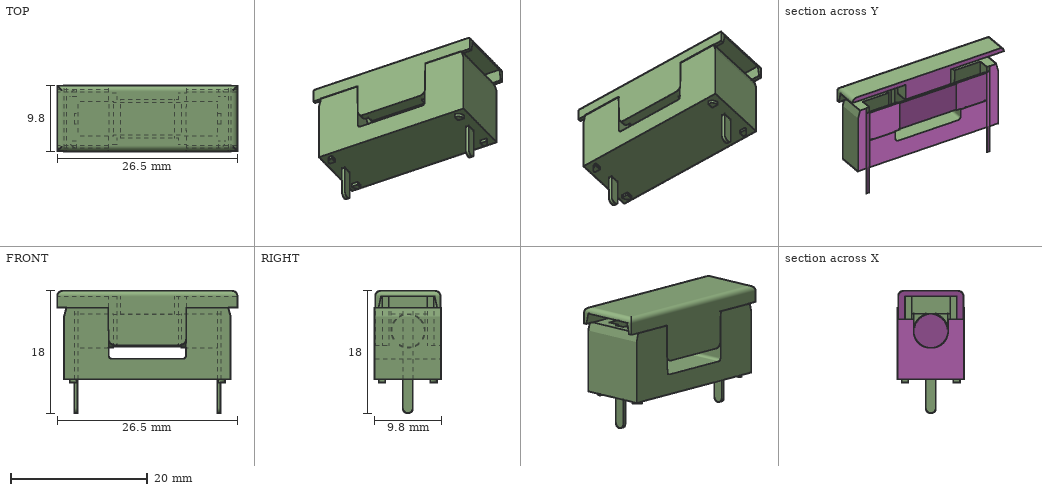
import cadquery as cq
import math


housing_length = 24.49
housing_width = 9.8
housing_height = 10.52
end_chamfer_inset = 0.35
end_chamfer_drop = 1.27

window_floor = 3.02
window_bottom_half = 5.65
window_top_half = 5.75
window_corner_radius = 0.45

foot_radius = 1.0
foot_height = 0.5
foot_center_x = 10.41
foot_center_y = 3.29

pin_pitch = 21.0
pin_thickness = 0.5
pin_width = 1.5
pin_reach = 4.98
pin_inner_x = (pin_pitch - pin_thickness) / 2

fuse_axis_height = 7.15
cap_diameter = 5.0
glass_diameter = 4.8
glass_length = 9.96
cap_length = pin_inner_x - glass_length / 2
fuse_top = fuse_axis_height + cap_diameter / 2

cover_length = 26.5
cover_width = 9.62
cover_height = 2.5
cover_edge_radius = 0.82
cover_top = housing_height + cover_height
roof_underside = cover_top - cover_edge_radius
skirt_top_thickness = 0.87
skirt_bottom_thickness = 0.5

tab_bottom = 5.04
tab_corner_radius = 0.87
tab_inner_y = 3.8

jaw_inner_y = 2.84
jaw_length = 9.0
web_length = 7.95


def window_half_width(height):
    """Half width of the tapered window at a height above the housing underside."""
    rise = (height - window_floor) / (housing_height - window_floor)
    return window_bottom_half + rise * (window_top_half - window_bottom_half)


def box_between(x_range, y_range, z_range):
    """Axis-aligned box between pairs of coordinates."""
    lows, highs = zip(x_range, y_range, z_range)
    sizes = [high - low for low, high in zip(lows, highs)]
    return cq.Workplane("XY").box(*sizes, centered=False).translate(lows)


def tapered_profile(bottom, corner_radius, depth):
    """Window-shaped prism, centred on Y, from a rounded bottom up to the housing top."""
    bottom_half = window_half_width(bottom)
    return (
        cq.Workplane("XZ")
        .moveTo(-bottom_half, bottom)
        .lineTo(bottom_half, bottom)
        .lineTo(window_top_half, housing_height)
        .lineTo(-window_top_half, housing_height)
        .close()
        .extrude(depth / 2, both=True)
        .edges("|Y and <Z")
        .fillet(corner_radius)
    )


def make_foot(side_x, side_y):
    """Quarter-round foot with its rounded side toward the nearest housing corner."""
    center_x = side_x * foot_center_x
    center_y = side_y * foot_center_y
    mid_reach = foot_radius * math.sqrt(0.5)
    return (
        cq.Workplane("XY")
        .moveTo(center_x, center_y)
        .lineTo(center_x + side_x * foot_radius, center_y)
        .threePointArc(
            (center_x + side_x * mid_reach, center_y + side_y * mid_reach),
            (center_x, center_y + side_y * foot_radius),
        )
        .close()
        .extrude(-foot_height)
    )


def make_housing():
    """Chamfered block with the window, feet, fuse cradle and pin slots."""
    half_length = housing_length / 2
    shoulder = housing_height - end_chamfer_drop
    top_half = half_length - end_chamfer_inset
    body = (
        cq.Workplane("XZ")
        .polyline([
            (-half_length, 0),
            (half_length, 0),
            (half_length, shoulder),
            (top_half, housing_height),
            (-top_half, housing_height),
            (-half_length, shoulder),
        ])
        .close()
        .extrude(housing_width / 2, both=True)
    )
    body = body.cut(tapered_profile(window_floor, window_corner_radius, housing_width))

    cap_radius = cap_diameter / 2
    bed = fuse_cylinder(cap_diameter, -pin_inner_x, pin_inner_x)
    throat = box_between(
        (-pin_inner_x, pin_inner_x), (-cap_radius, cap_radius), (fuse_axis_height, housing_height)
    )
    body = body.cut(bed).cut(throat)

    for side in (-1, 1):
        slot = (
            cq.Workplane("XY")
            .center(side * pin_pitch / 2, 0)
            .rect(pin_thickness, pin_width)
            .extrude(housing_height)
        )
        body = body.cut(slot)

    for side_x in (-1, 1):
        for side_y in (-1, 1):
            body = body.union(make_foot(side_x, side_y))
    return body


def fuse_cylinder(diameter, x_start, x_end):
    """Cylinder along the fuse axis between two X positions."""
    return (
        cq.Workplane("YZ", origin=(x_start, 0, fuse_axis_height))
        .circle(diameter / 2)
        .extrude(x_end - x_start)
    )


def make_glass():
    """Glass body of the fuse."""
    return fuse_cylinder(glass_diameter, -glass_length / 2, glass_length / 2)


def make_cap(side):
    """Metal end cap between the glass and a contact pin."""
    inner_x = side * glass_length / 2
    return fuse_cylinder(cap_diameter, inner_x, inner_x + side * cap_length)


def make_pin(side):
    """Flat contact pin with a round tip, rising beside the fuse cap."""
    center_x = side * pin_pitch / 2
    half_width = pin_width / 2
    tip_center = half_width - pin_reach
    return (
        cq.Workplane("YZ", origin=(center_x, 0, 0))
        .moveTo(-half_width, fuse_top)
        .lineTo(-half_width, tip_center)
        .threePointArc((0, -pin_reach), (half_width, tip_center))
        .lineTo(half_width, fuse_top)
        .close()
        .extrude(pin_thickness / 2, both=True)
    )


def make_cover():
    """Lid with rounded top edges, drafted side skirts, grip tabs, jaws and a web."""
    half_width = cover_width / 2
    lid = (
        cq.Workplane("XY", origin=(0, 0, housing_height))
        .rect(cover_length, cover_width)
        .extrude(cover_height)
        .faces(">Z")
        .edges()
        .fillet(cover_edge_radius)
    )

    channel_bottom_half = half_width - skirt_bottom_thickness
    channel_top_half = half_width - skirt_top_thickness
    channel = (
        cq.Workplane("YZ")
        .polyline([
            (-channel_bottom_half, housing_height),
            (channel_bottom_half, housing_height),
            (channel_top_half, roof_underside),
            (-channel_top_half, roof_underside),
        ])
        .close()
        .extrude(cover_length / 2, both=True)
    )
    cover = lid.cut(channel)

    tab_prism = tapered_profile(tab_bottom, tab_corner_radius, cover_width)
    jaw_x = (-jaw_length / 2, jaw_length / 2)
    for side in (-1, 1):
        tab_y = sorted((side * tab_inner_y, side * half_width))
        tab_x = (-window_top_half, window_top_half)
        lower_tab = tab_prism.intersect(box_between(tab_x, tab_y, (tab_bottom, housing_height)))
        root_y = sorted((side * tab_inner_y, side * channel_bottom_half))
        tab_root = box_between(tab_x, root_y, (housing_height, roof_underside))
        jaw_y = sorted((side * jaw_inner_y, side * tab_inner_y))
        jaw = box_between(jaw_x, jaw_y, (tab_bottom, roof_underside))
        cover = cover.union(lower_tab).union(tab_root).union(jaw)

    web = box_between(
        (-web_length / 2, web_length / 2), (-jaw_inner_y, jaw_inner_y), (fuse_top, roof_underside)
    )
    return cover.union(web)


housing = make_housing()
cover = make_cover()
glass = make_glass()
caps = [make_cap(side) for side in (-1, 1)]
pins = [make_pin(side) for side in (-1, 1)]

result = cq.Compound.makeCompound([
    housing.val(),
    cover.val(),
    glass.val(),
    *[cap.val() for cap in caps],
    *[pin.val() for pin in pins],
])